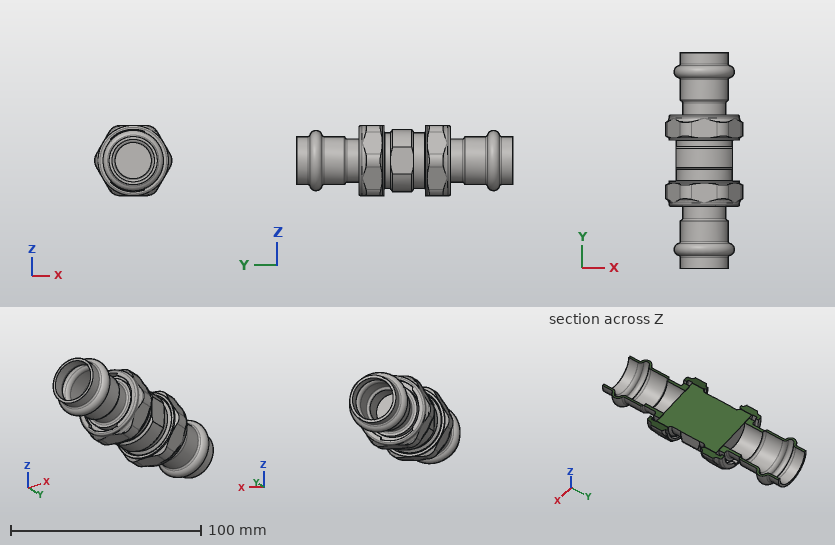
import cadquery as cq
import math


tube_end = 56.8
socket_radius = 25.3 / 2
socket_bore_radius = 22.4 / 2
stub_radius = 22.8 / 2
stub_bore_radius = 19.1 / 2
socket_floor = 30.9
socket_floor_fillet = 1.1
shoulder_start = 32.0
shoulder_length = 1.7
shoulder_round_share = 0.4

bead_y = 46.7
bead_radius = 3.3
bead_outer_radius = 15.9
bead_fillet = 1.0

flange_radius = 27.7 / 2
flange_outer_y = 23.0
flange_inner_y = 19.3
flange_fillet = 0.9

nut_across_flats = 37.0
nut_across_corners = 40.7
nut_inner_y = 10.8
nut_outer_y = 24.1
rim_edge_fillet = 1.0
hex_inner_y = 11.8
hex_outer_y = 21.1
hex_chamfer_length = 1.1
rim_root_setback = 1.3
lip_bore_radius = 30.5 / 2
lip_thickness = 1.9
nut_bore_radius = 33.0 / 2
nut_mouth_chamfer = 0.7
slot_x_min = -11.7
slot_x_max = 5.9

neck_radius = 29.5 / 2
thread_start = 10.5
body_radius = 33.0 / 2
body_y_min = -4.7
body_y_max = 7.4
body_chamfer_length = 1.0
body_chamfer_height = 1.4
body_across_flats = 29.8


def revolve(profile):
    """Turn a closed outline of (radius, y) about the Y axis."""
    return profile.close().revolve(360, (0, 0, 0), (0, 1, 0))


def at_both_ends(part):
    """The part at the +Y end and its copy at the -Y end, as two solids."""
    return [part.rotate((0, 0, 0), (1, 0, 0), turn).val() for turn in (0, 180)]


def add_bead(profile, wall_radius, ring_radius, fillet, direction):
    """Run an outline along the wall, over the bead and back to the wall; direction is the run along y."""
    ring_center = bead_outer_radius - bead_radius
    fillet_center = wall_radius + fillet
    reach = ring_radius + fillet
    rise = fillet_center - ring_center
    half_length = math.sqrt(reach**2 - rise**2)
    lean = math.atan2(rise, half_length)

    def ring_point(side):
        return (ring_center + ring_radius * math.sin(lean), bead_y + side * ring_radius * math.cos(lean))

    def fillet_middle(side):
        angle = (lean + math.pi / 2) / 2
        return (
            fillet_center - fillet * math.sin(angle),
            bead_y + side * (half_length - fillet * math.cos(angle)),
        )

    entry = -direction
    return (
        profile.lineTo(wall_radius, bead_y + entry * half_length)
        .threePointArc(fillet_middle(entry), ring_point(entry))
        .threePointArc((ring_center + ring_radius, bead_y), ring_point(-entry))
        .threePointArc(fillet_middle(-entry), (wall_radius, bead_y - entry * half_length))
    )


def tube():
    wall = socket_radius - socket_bore_radius
    drop = socket_radius - stub_radius
    shoulder_end = shoulder_start - shoulder_length
    shoulder_middle = (
        socket_radius - drop * shoulder_round_share,
        shoulder_start - shoulder_length * shoulder_round_share,
    )
    profile = cq.Workplane("XY").moveTo(stub_bore_radius, flange_inner_y)
    profile = (
        profile.lineTo(flange_radius, flange_inner_y)
        .lineTo(flange_radius, flange_outer_y)
        .lineTo(stub_radius + flange_fillet, flange_outer_y)
        .radiusArc((stub_radius, flange_outer_y + flange_fillet), flange_fillet)
        .lineTo(stub_radius, shoulder_end)
        .tangentArcPoint(shoulder_middle, relative=False)
        .tangentArcPoint((socket_radius, shoulder_start), relative=False)
    )
    profile = add_bead(profile, socket_radius, bead_radius, bead_fillet, 1)
    profile = profile.lineTo(socket_radius, tube_end).lineTo(socket_bore_radius, tube_end)
    profile = add_bead(profile, socket_bore_radius, bead_radius - wall, bead_fillet + wall, -1)
    profile = (
        profile.lineTo(socket_bore_radius, socket_floor + socket_floor_fillet)
        .radiusArc((socket_bore_radius - socket_floor_fillet, socket_floor), socket_floor_fillet)
        .lineTo(stub_bore_radius, socket_floor)
    )
    return revolve(profile)


def nut_hexagon():
    """Hexagonal prism along Y with corners on +X and -X, rounded to the size across corners."""
    sharp_corners = nut_across_flats / math.cos(math.pi / 6)
    corner_round = (sharp_corners - nut_across_corners) / 2 / (1 / math.cos(math.pi / 6) - 1)
    return (
        cq.Workplane("XZ", origin=(0, nut_inner_y, 0))
        .polygon(6, sharp_corners)
        .extrude(nut_inner_y - nut_outer_y)
        .edges("|Y")
        .fillet(corner_round)
    )


def nut_turned_outside():
    """Turned outline of the nut: collar, chamfered hexagon, round rim."""
    rim_radius = nut_across_flats / 2
    corner_radius = nut_across_corners / 2
    chamfer_height = corner_radius - rim_radius
    setback_share = rim_root_setback / math.hypot(chamfer_height, hex_chamfer_length)
    root_start = (
        rim_radius + chamfer_height * setback_share,
        hex_outer_y - hex_chamfer_length * setback_share,
    )
    profile = (
        cq.Workplane("XY")
        .moveTo(0, nut_inner_y)
        .lineTo(rim_radius, nut_inner_y)
        .lineTo(rim_radius, hex_inner_y)
        .lineTo(corner_radius, hex_inner_y + hex_chamfer_length)
        .lineTo(corner_radius, hex_outer_y - hex_chamfer_length)
        .lineTo(*root_start)
        .tangentArcPoint((rim_radius, hex_outer_y + rim_root_setback), relative=False)
        .lineTo(rim_radius, nut_outer_y - rim_edge_fillet)
        .radiusArc((rim_radius - rim_edge_fillet, nut_outer_y), -rim_edge_fillet)
        .lineTo(0, nut_outer_y)
    )
    return revolve(profile)


def nut_inside():
    lip_inner_y = nut_outer_y - lip_thickness
    profile = (
        cq.Workplane("XY")
        .moveTo(0, nut_inner_y)
        .lineTo(nut_bore_radius + nut_mouth_chamfer, nut_inner_y)
        .lineTo(nut_bore_radius, nut_inner_y + nut_mouth_chamfer)
        .lineTo(nut_bore_radius, lip_inner_y)
        .lineTo(lip_bore_radius, lip_inner_y)
        .lineTo(lip_bore_radius, nut_outer_y)
        .lineTo(0, nut_outer_y)
    )
    return revolve(profile)


def nut_slot():
    """Widens the lip to the bore size over a band of X."""
    disc = cq.Workplane("XZ", origin=(0, nut_outer_y, 0)).circle(nut_bore_radius).extrude(lip_thickness)
    band = (
        cq.Workplane("XY")
        .box(slot_x_max - slot_x_min, nut_outer_y, nut_across_corners, centered=(False, False, True))
        .translate((slot_x_min, 0, 0))
    )
    return disc.intersect(band)


def nut():
    return nut_hexagon().intersect(nut_turned_outside()).cut(nut_inside()).cut(nut_slot())


def middle_body():
    thread_chamfer = nut_bore_radius - neck_radius
    profile = (
        cq.Workplane("XY")
        .moveTo(0, -flange_inner_y)
        .lineTo(nut_bore_radius, -flange_inner_y)
        .lineTo(nut_bore_radius, -thread_start - thread_chamfer)
        .lineTo(neck_radius, -thread_start)
        .lineTo(neck_radius, body_y_min)
        .lineTo(body_radius - body_chamfer_height, body_y_min)
        .lineTo(body_radius, body_y_min + body_chamfer_length)
        .lineTo(body_radius, body_y_max - body_chamfer_length)
        .lineTo(body_radius - body_chamfer_height, body_y_max)
        .lineTo(neck_radius, body_y_max)
        .lineTo(neck_radius, thread_start)
        .lineTo(nut_bore_radius, thread_start + thread_chamfer)
        .lineTo(nut_bore_radius, flange_inner_y)
        .lineTo(0, flange_inner_y)
    )
    body = revolve(profile)
    flat_depth = body_radius - body_across_flats / 2
    for side in (-1, 1):
        flat_cut = (
            cq.Workplane("XY")
            .box(2 * flat_depth, body_y_max - body_y_min, 2 * body_radius, centered=(True, False, True))
            .translate((side * (body_across_flats / 2 + flat_depth), body_y_min, 0))
        )
        body = body.cut(flat_cut)
    return body


result = cq.Compound.makeCompound([middle_body().val(), *at_both_ends(nut()), *at_both_ends(tube())])